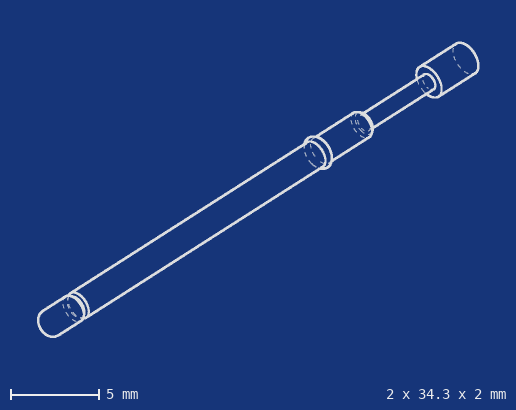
import cadquery as cq
import math


barrel_radius = 0.825
barrel_length = 26.0
tail_round_radius = 0.45
mouth_chamfer_length = 0.2
mouth_chamfer_depth = 0.125

groove_center_y = 2.5
groove_width = 0.4
groove_depth = 0.15

ring_radius = 1.0
ring_width = 0.5
ring_to_mouth = 3.5

plunger_radius = 0.5
plunger_exposed_length = 5.3
head_radius = 1.0
head_length = 3.0

head_start_y = barrel_length + plunger_exposed_length
head_end_y = head_start_y + head_length
groove_start_y = groove_center_y - groove_width / 2
groove_end_y = groove_center_y + groove_width / 2
ring_end_y = barrel_length - ring_to_mouth
ring_start_y = ring_end_y - ring_width
ring_center_y = (ring_start_y + ring_end_y) / 2


def make_probe():
    """Revolve the half profile, given as (Y, distance from the axis), about the Y axis."""
    tail_flat_radius = barrel_radius - tail_round_radius
    mouth_flat_radius = barrel_radius - mouth_chamfer_depth
    mouth_chamfer_y = barrel_length - mouth_chamfer_length
    tail_offset = tail_round_radius * math.sqrt(0.5)
    tail_middle = (tail_round_radius - tail_offset, tail_flat_radius + tail_offset)
    profile = (
        cq.Workplane("YZ")
        .moveTo(0, 0)
        .lineTo(0, tail_flat_radius)
        .threePointArc(tail_middle, (tail_round_radius, barrel_radius))
        .lineTo(groove_start_y, barrel_radius)
        .lineTo(groove_center_y, barrel_radius - groove_depth)
        .lineTo(groove_end_y, barrel_radius)
        .lineTo(ring_start_y, barrel_radius)
        .threePointArc((ring_center_y, ring_radius), (ring_end_y, barrel_radius))
        .lineTo(mouth_chamfer_y, barrel_radius)
        .lineTo(barrel_length, mouth_flat_radius)
        .lineTo(barrel_length, plunger_radius)
        .lineTo(head_start_y, plunger_radius)
        .lineTo(head_start_y, head_radius)
        .lineTo(head_end_y, head_radius)
        .lineTo(head_end_y, 0)
        .close()
    )
    return profile.revolve(360, (0, 0, 0), (1, 0, 0))


result = make_probe()